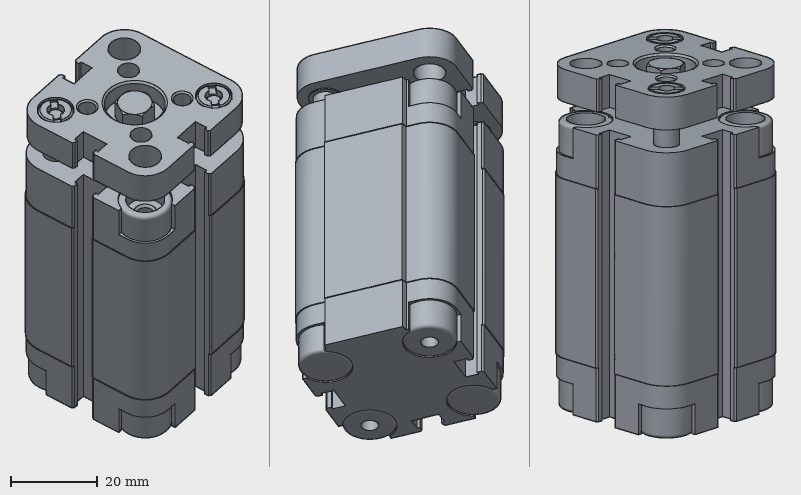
import cadquery as cq
import math

TOTAL_HEIGHT = 83.0
PLATE_THICKNESS = 8.0
PLATE_GAP = 5.5
PLATE_BOTTOM = TOTAL_HEIGHT - PLATE_THICKNESS
HOUSING_TOP = PLATE_BOTTOM - PLATE_GAP
CAP_HEIGHT = 13.0

BARREL_HALF = 20.0
STEP = 0.21
CAP_HALF = BARREL_HALF - STEP
PLATE_HALF = CAP_HALF - STEP

CORNER_SPACING = 26.0
CORNER = CORNER_SPACING / 2
SCREW_CORNERS = [(-CORNER, CORNER), (CORNER, -CORNER)]
PIN_CORNERS = [(CORNER, CORNER), (-CORNER, -CORNER)]

SLOT_MOUTH_WIDTH = 5.3
SLOT_WIDTH = 6.8
SLOT_FLOOR = 15.0
SLOT_LIP = 18.3
SLOT_LIP_ROUND = 0.4
SLOT_ANGLES = [-90, 0, 180]

RAIL_REACH = 1.5
RAIL_TOP_WIDTH = 19.4
RAIL_BASE_WIDTH = 20.1
RAIL_ROOT = 0.8

NOTCH_START = 10.5
NOTCH_HEIGHT = 7.5
BOSS_DIAMETER = 12.5
BOSS_ROUND = 0.8

SCREW_HOLE_DIAMETER = 4.15
SCREW_SINK_DIAMETER = 5.3
SCREW_POCKET_DIAMETER = 9.0
SCREW_POCKET_DEPTH = 4.0

ACCESS_HOLE_DIAMETER = 7.5
SMALL_HOLE_OFFSET = 7.8
SMALL_HOLE_DIAMETER = 5.0
THREAD_HOLE_DIAMETER = 4.15
ROD_POCKET_DIAMETER = 14.0
ROD_POCKET_DEPTH = 4.8
ROD_POCKET_CHAMFER = 0.5

PIN_DIAMETER = 6.0
PIN_COLLAR_DIAMETER = 8.0
PIN_COLLAR_HEIGHT = 0.3
PIN_RECESS_DIAMETER = 8.5
PIN_RECESS_DEPTH = 0.8
PIN_END_DIAMETER = 8.1
PIN_END_FACE_DIAMETER = 7.2
PIN_SOCKET_DIAMETER = 4.0
PIN_SOCKET_DEPTH = 1.8
PIN_SOCKET_FLOOR_DIAMETER = 3.15
PIN_SLOT_WIDTH = 1.75
PIN_SLOT_DEPTH = 1.3
PIN_SLOT_ANGLE = -45

HEX_SIDES = 6
ROD_DIAMETER = 10.0
ROD_FLAT_WIDTH = 9.0
ROD_SHOULDER_HEIGHT = 1.3
HEX_FLATS = 8.0
HEX_CHAMFER_ANGLE = 30


def toward_corner(offset, corner):
    """Point at the given X and Y offset in the quadrant of a corner."""
    x, y = corner
    return math.copysign(offset, x), math.copysign(offset, y)


def cylinder(diameter, bottom, top, center=(0, 0)):
    """Upright cylinder between two heights."""
    return cq.Workplane("XY", origin=(*center, bottom)).circle(diameter / 2).extrude(top - bottom)


def cone(bottom_diameter, top_diameter, bottom, top, center=(0, 0)):
    """Upright truncated cone between two heights."""
    return cq.Workplane(
        cq.Solid.makeCone(bottom_diameter / 2, top_diameter / 2, top - bottom, cq.Vector(*center, bottom))
    )


def rounded_block(half, bottom, top):
    """Square block whose corner arcs are centred on the corner axes."""
    block = cq.Workplane("XY", origin=(0, 0, bottom)).rect(2 * half, 2 * half).extrude(top - bottom)
    return block.edges("|Z").fillet(half - CORNER)


def cut_slots(body, half, bottom, top):
    """Cut the three T-slots, with rounded lips where they open at the outer face."""
    mouth = SLOT_MOUTH_WIDTH / 2
    inner = SLOT_WIDTH / 2
    r = SLOT_LIP_ROUND
    slot = (
        cq.Workplane("XY", origin=(0, 0, bottom))
        .moveTo(SLOT_FLOOR, -inner)
        .lineTo(SLOT_LIP, -inner)
        .lineTo(SLOT_LIP, -mouth)
        .lineTo(half - r, -mouth)
        .radiusArc((half, -mouth - r), -r)
        .lineTo(half, mouth + r)
        .radiusArc((half - r, mouth), -r)
        .lineTo(SLOT_LIP, mouth)
        .lineTo(SLOT_LIP, inner)
        .lineTo(SLOT_FLOOR, inner)
        .close()
        .extrude(top - bottom)
    )
    for angle in SLOT_ANGLES:
        body = body.cut(slot.rotate((0, 0, 0), (0, 0, 1), angle))
    return body


def rail(half, bottom, top):
    """Tapered rail standing on the +Y face."""
    outline = [
        (-RAIL_BASE_WIDTH / 2, half - RAIL_ROOT),
        (RAIL_BASE_WIDTH / 2, half - RAIL_ROOT),
        (RAIL_BASE_WIDTH / 2, half),
        (RAIL_TOP_WIDTH / 2, half + RAIL_REACH),
        (-RAIL_TOP_WIDTH / 2, half + RAIL_REACH),
        (-RAIL_BASE_WIDTH / 2, half),
    ]
    return cq.Workplane("XY", origin=(0, 0, bottom)).polyline(outline).close().extrude(top - bottom)


def housing_section(half, bottom, top):
    """One length of housing: rounded block, rail and slots."""
    section = rounded_block(half, bottom, top).union(rail(half, bottom, top))
    return cut_slots(section, half, bottom, top)


def corner_boss(body, corner, end, inward):
    """Notch a cap corner at the end height and leave a round-edged boss in it."""
    notch_size = BARREL_HALF - NOTCH_START
    notch_middle = NOTCH_START + notch_size / 2
    bottom = min(end, end + inward * NOTCH_HEIGHT)
    top = bottom + NOTCH_HEIGHT
    groove_edges = sorted([end, end + inward * BOSS_ROUND])
    notch = (
        cq.Workplane("XY", origin=(*toward_corner(notch_middle, corner), bottom))
        .rect(notch_size, notch_size)
        .extrude(NOTCH_HEIGHT)
        .union(cylinder(BOSS_DIAMETER, *groove_edges, corner))
    )
    boss = cylinder(BOSS_DIAMETER, bottom, top, corner)
    boss = boss.faces(">Z" if inward < 0 else "<Z").edges().fillet(BOSS_ROUND)
    return body.cut(notch).union(boss)


def screw_hole(body, corner):
    """Through hole with a countersink at the floor of a wide pocket."""
    floor = HOUSING_TOP - SCREW_POCKET_DEPTH
    sink_depth = (SCREW_SINK_DIAMETER - SCREW_HOLE_DIAMETER) / 2
    body = body.cut(cylinder(SCREW_HOLE_DIAMETER, 0, HOUSING_TOP, corner))
    body = body.cut(cylinder(SCREW_POCKET_DIAMETER, floor, HOUSING_TOP, corner))
    return body.cut(cone(SCREW_HOLE_DIAMETER, SCREW_SINK_DIAMETER, floor - sink_depth, floor, corner))


def make_housing():
    """Barrel between two slightly smaller end caps."""
    barrel_top = HOUSING_TOP - CAP_HEIGHT
    body = housing_section(BARREL_HALF, CAP_HEIGHT, barrel_top)
    body = body.union(housing_section(CAP_HALF, 0, CAP_HEIGHT))
    body = body.union(housing_section(CAP_HALF, barrel_top, HOUSING_TOP))
    for corner in SCREW_CORNERS + PIN_CORNERS:
        body = corner_boss(body, corner, 0, 1)
    for corner in SCREW_CORNERS:
        body = corner_boss(body, corner, HOUSING_TOP, -1)
        body = screw_hole(body, corner)
    return body


def make_plate():
    """Yoke plate with its slots, rod pocket and holes."""
    plate = rounded_block(PLATE_HALF, PLATE_BOTTOM, TOTAL_HEIGHT)
    plate = cut_slots(plate, PLATE_HALF, PLATE_BOTTOM, TOTAL_HEIGHT)

    pocket = cylinder(ROD_POCKET_DIAMETER, TOTAL_HEIGHT - ROD_POCKET_DEPTH, TOTAL_HEIGHT)
    pocket_mouth = cone(
        ROD_POCKET_DIAMETER,
        ROD_POCKET_DIAMETER + 2 * ROD_POCKET_CHAMFER,
        TOTAL_HEIGHT - ROD_POCKET_CHAMFER,
        TOTAL_HEIGHT,
    )
    plate = plate.cut(pocket).cut(pocket_mouth)

    sink_depth = (SMALL_HOLE_DIAMETER - THREAD_HOLE_DIAMETER) / 2
    for corner in SCREW_CORNERS:
        small_center = toward_corner(SMALL_HOLE_OFFSET, corner)
        plate = plate.cut(cylinder(ACCESS_HOLE_DIAMETER, PLATE_BOTTOM, TOTAL_HEIGHT, corner))
        plate = plate.cut(cylinder(SMALL_HOLE_DIAMETER, PLATE_BOTTOM, TOTAL_HEIGHT, small_center))
    for corner in PIN_CORNERS:
        small_center = toward_corner(SMALL_HOLE_OFFSET, corner)
        sink = cone(
            THREAD_HOLE_DIAMETER, SMALL_HOLE_DIAMETER, TOTAL_HEIGHT - sink_depth, TOTAL_HEIGHT, small_center
        )
        plate = plate.cut(cylinder(THREAD_HOLE_DIAMETER, PLATE_BOTTOM, TOTAL_HEIGHT, small_center)).cut(sink)
    return plate


def pin_end(corner):
    """Chamfered pin end with a blind socket, whose floor is bevelled, and a driver slot."""
    chamfer = (PIN_END_DIAMETER - PIN_END_FACE_DIAMETER) / 2
    bevel = (PIN_SOCKET_DIAMETER - PIN_SOCKET_FLOOR_DIAMETER) / 2
    socket_bottom = TOTAL_HEIGHT - PIN_SOCKET_DEPTH
    slot_bottom = TOTAL_HEIGHT - PIN_SLOT_DEPTH

    chamfer_bottom = TOTAL_HEIGHT - chamfer
    end = cylinder(PIN_END_DIAMETER, PLATE_BOTTOM, chamfer_bottom, corner)
    end = end.union(cone(PIN_END_DIAMETER, PIN_END_FACE_DIAMETER, chamfer_bottom, TOTAL_HEIGHT, corner))
    slot = (
        cq.Workplane("XY", origin=(*corner, slot_bottom))
        .transformed(rotate=(0, 0, PIN_SLOT_ANGLE))
        .rect(PIN_RECESS_DIAMETER, PIN_SLOT_WIDTH)
        .extrude(PIN_SLOT_DEPTH)
    )
    end = end.cut(slot).cut(cylinder(PIN_SOCKET_DIAMETER, socket_bottom, TOTAL_HEIGHT, corner))
    socket_floor = cone(
        PIN_SOCKET_DIAMETER, PIN_SOCKET_FLOOR_DIAMETER, socket_bottom, socket_bottom + bevel, corner
    )
    return end.union(socket_floor)


def add_pin(body, corner):
    """Guide pin with a collar under the plate and its end flush with the plate top, inside a ring recess."""
    collar_bottom = PLATE_BOTTOM - PIN_COLLAR_HEIGHT
    body = body.cut(cylinder(PIN_END_DIAMETER, PLATE_BOTTOM, TOTAL_HEIGHT, corner))
    body = body.cut(cylinder(PIN_RECESS_DIAMETER, TOTAL_HEIGHT - PIN_RECESS_DEPTH, TOTAL_HEIGHT, corner))
    body = body.union(pin_end(corner))
    body = body.union(cylinder(PIN_COLLAR_DIAMETER, collar_bottom, PLATE_BOTTOM, corner))
    return body.union(cylinder(PIN_DIAMETER, HOUSING_TOP, collar_bottom, corner))


def make_rod():
    """Rod below the plate, with two wrench flats facing -Y and +Y."""
    shoulder_top = HOUSING_TOP + ROD_SHOULDER_HEIGHT
    shoulder = cylinder(ROD_DIAMETER, HOUSING_TOP, shoulder_top)
    neck = cylinder(ROD_DIAMETER, shoulder_top, PLATE_BOTTOM)
    flats = (
        cq.Workplane("XY", origin=(0, 0, HOUSING_TOP))
        .rect(ROD_DIAMETER, ROD_FLAT_WIDTH)
        .extrude(PLATE_GAP)
    )
    return shoulder.union(neck.intersect(flats))


def make_hex_head():
    """Hexagonal rod end in the plate pocket, two flats facing -X and +X, top corners bevelled."""
    bottom = TOTAL_HEIGHT - ROD_POCKET_DEPTH
    half_side_angle = 180 / HEX_SIDES
    across_corners = HEX_FLATS / math.cos(math.radians(half_side_angle))
    bevel_slope = math.tan(math.radians(HEX_CHAMFER_ANGLE))
    base_diameter = HEX_FLATS + 2 * ROD_POCKET_DEPTH / bevel_slope
    head = (
        cq.Workplane("XY", origin=(0, 0, bottom))
        .transformed(rotate=(0, 0, half_side_angle))
        .polygon(HEX_SIDES, across_corners)
        .extrude(ROD_POCKET_DEPTH)
    )
    return head.intersect(cone(base_diameter, HEX_FLATS, bottom, TOTAL_HEIGHT))


def make_piston():
    """Yoke plate joined to the rod, its hexagonal end and the guide pins."""
    body = make_plate().union(make_rod()).union(make_hex_head())
    for corner in PIN_CORNERS:
        body = add_pin(body, corner)
    return body


housing = make_housing()
piston = make_piston()

result = cq.Compound.makeCompound([housing.val(), piston.val()])